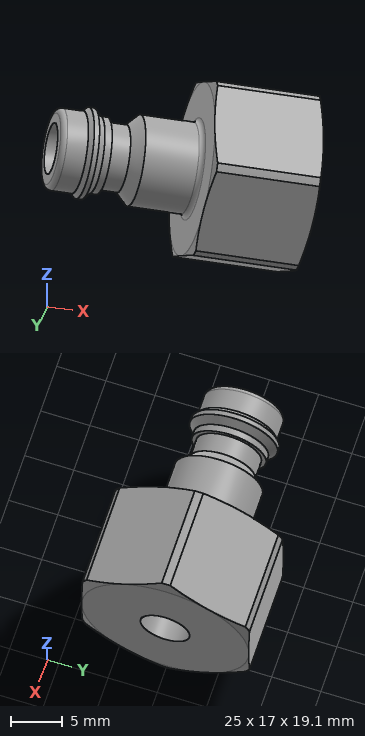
import cadquery as cq
import math

total_length = 25.0
hex_start = 14.1
hex_across_flats = 17.0
hex_corner_diameter = 19.15
hex_chamfer_angle = 15.0

bore_diameter = 5.0
nose_diameter = 8.1
ridge_diameter = 9.0
step_diameter = 7.6
neck_diameter = 6.65
barrel_diameter = 9.0

nose_end = 2.65
ridge_start = 3.12
ridge_end = 3.65
step_start = 4.38
step_end = 5.1
neck_end = 7.08
barrel_start = 8.28

nose_round = 0.55
root_fillet = 0.5


def revolve_about_x(profile):
    return profile.close().revolve(360, (0, 0, 0), (1, 0, 0))


def make_plug():
    """Stepped plug with a rounded nose and a fillet at the hexagon face."""
    nose_radius = nose_diameter / 2
    barrel_radius = barrel_diameter / 2
    diagonal = math.sqrt(0.5)
    nose_arc_middle = (
        nose_round * (1 - diagonal),
        nose_radius - nose_round * (1 - diagonal),
    )
    root_arc_middle = (
        hex_start - root_fillet * (1 - diagonal),
        barrel_radius + root_fillet * (1 - diagonal),
    )
    profile = (
        cq.Workplane("XY")
        .moveTo(0, 0)
        .lineTo(0, nose_radius - nose_round)
        .threePointArc(nose_arc_middle, (nose_round, nose_radius))
        .lineTo(nose_end, nose_radius)
        .lineTo(ridge_start, ridge_diameter / 2)
        .lineTo(ridge_end, ridge_diameter / 2)
        .lineTo(step_start, step_diameter / 2)
        .lineTo(step_end, step_diameter / 2)
        .lineTo(step_end, neck_diameter / 2)
        .lineTo(neck_end, neck_diameter / 2)
        .lineTo(barrel_start, barrel_radius)
        .lineTo(hex_start - root_fillet, barrel_radius)
        .threePointArc(root_arc_middle, (hex_start, barrel_radius + root_fillet))
        .lineTo(total_length, barrel_radius + root_fillet)
        .lineTo(total_length, 0)
    )
    return revolve_about_x(profile)


def make_hexagon():
    """Hexagon with corners up and down, trimmed by a cylinder coned at both ends."""
    sharp_corner_diameter = hex_across_flats / math.cos(math.radians(30))
    prism = (
        cq.Workplane("YZ")
        .workplane(offset=hex_start)
        .transformed(rotate=(0, 0, 90))
        .polygon(6, sharp_corner_diameter)
        .extrude(total_length - hex_start)
    )

    face_radius = hex_across_flats / 2
    corner_radius = hex_corner_diameter / 2
    chamfer_length = (corner_radius - face_radius) * math.tan(math.radians(hex_chamfer_angle))
    envelope = revolve_about_x(
        cq.Workplane("XY")
        .moveTo(hex_start, 0)
        .lineTo(hex_start, face_radius)
        .lineTo(hex_start + chamfer_length, corner_radius)
        .lineTo(total_length - chamfer_length, corner_radius)
        .lineTo(total_length, face_radius)
        .lineTo(total_length, 0)
    )
    return prism.intersect(envelope)


through_bore = cq.Workplane("YZ").circle(bore_diameter / 2).extrude(total_length)

result = make_plug().union(make_hexagon()).cut(through_bore)